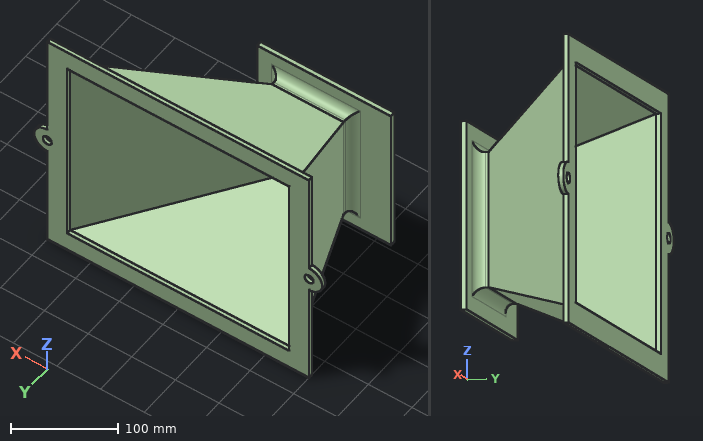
import cadquery as cq

TOTAL_DEPTH = 151.0
OUTLET_FACE_Y = -TOTAL_DEPTH / 2
INLET_FACE_Y = TOTAL_DEPTH / 2

TOTAL_WIDTH = 330.5
EAR_RADIUS = 15.2
EAR_HOLE_DIAMETER = 10.0
PLATE_WIDTH = TOTAL_WIDTH - 2 * EAR_RADIUS
PLATE_HEIGHT = 275.0
PLATE_THICKNESS = 5.0
PLATE_FRONT_Y = INLET_FACE_Y - PLATE_THICKNESS

HOPPER_WIDTH = 261.0
HOPPER_HEIGHT = 235.2
INLET_WALL = 3.3
INLET_WIDTH = HOPPER_WIDTH - 2 * INLET_WALL
INLET_HEIGHT = HOPPER_HEIGHT - 2 * INLET_WALL

OUTLET_X = -63.8
FLANGE_WIDTH = 153.3
FLANGE_HEIGHT = 179.7
FLANGE_THICKNESS = 6.0
NECK_X = -54.5
NECK_WIDTH = 82.0
NECK_HEIGHT = 129.0
NECK_LENGTH = 13.0
NECK_FILLET = 10.0
EDGE_MARGIN = 0.3
OUTLET_WIDTH = 50.5
OUTLET_HEIGHT = 109.0
FLANGE_BACK_Y = OUTLET_FACE_Y + FLANGE_THICKNESS
NECK_END_Y = FLANGE_BACK_Y + NECK_LENGTH


def block(width, height, start_y, end_y, center_x=0.0):
    """Rectangular block spanning start_y to end_y, centred on Z = 0."""
    return cq.Workplane("XY").box(width, end_y - start_y, height).translate(
        (center_x, (start_y + end_y) / 2, 0)
    )


def rectangle(width, height, y, center_x):
    """Closed rectangular wire in the plane at the given Y."""
    plane = cq.Workplane("XZ", origin=(center_x, y, 0))
    return plane.rect(width, height).wires().val()


def ruled_loft(first, last):
    """Flat-sided solid between two rectangular wires."""
    return cq.Workplane(cq.Solid.makeLoft([first, last], True))


def make_mounting_plate():
    """Mounting plate with two drilled ears and a straight rectangular inlet."""
    plate = block(PLATE_WIDTH, PLATE_HEIGHT, PLATE_FRONT_Y, INLET_FACE_Y)
    inlet = block(INLET_WIDTH, INLET_HEIGHT, PLATE_FRONT_Y, INLET_FACE_Y)
    ear_centers = [(-PLATE_WIDTH / 2, 0), (PLATE_WIDTH / 2, 0)]
    ear_plane = cq.Workplane("XZ", origin=(0, INLET_FACE_Y, 0)).pushPoints(ear_centers)
    ears = ear_plane.circle(EAR_RADIUS).extrude(PLATE_THICKNESS)
    holes = ear_plane.circle(EAR_HOLE_DIAMETER / 2).extrude(PLATE_THICKNESS)
    return plate.union(ears).cut(holes).cut(inlet)


def make_outlet_flange():
    """Solid outlet flange and neck, with a fillet around the neck root."""
    flange = block(FLANGE_WIDTH, FLANGE_HEIGHT, OUTLET_FACE_Y, FLANGE_BACK_Y, OUTLET_X)
    neck = block(NECK_WIDTH, NECK_HEIGHT, FLANGE_BACK_Y, NECK_END_Y, NECK_X)
    half_width = NECK_WIDTH / 2 + EDGE_MARGIN
    half_height = NECK_HEIGHT / 2 + EDGE_MARGIN
    neck_root = cq.selectors.BoxSelector(
        (NECK_X - half_width, FLANGE_BACK_Y - EDGE_MARGIN, -half_height),
        (NECK_X + half_width, FLANGE_BACK_Y + EDGE_MARGIN, half_height),
    )
    return flange.union(neck).edges(neck_root).fillet(NECK_FILLET)


def make_hopper():
    """Tapered hopper with its outlet flange, ending flush against the mounting plate."""
    funnel = ruled_loft(
        rectangle(NECK_WIDTH, NECK_HEIGHT, NECK_END_Y, NECK_X),
        rectangle(HOPPER_WIDTH, HOPPER_HEIGHT, PLATE_FRONT_Y, 0),
    )
    passage = ruled_loft(
        rectangle(OUTLET_WIDTH, OUTLET_HEIGHT, OUTLET_FACE_Y, OUTLET_X),
        rectangle(INLET_WIDTH, INLET_HEIGHT, PLATE_FRONT_Y, 0),
    )
    return make_outlet_flange().union(funnel).cut(passage)


mounting_plate = make_mounting_plate()
hopper = make_hopper()

result = cq.Compound.makeCompound([mounting_plate.val(), hopper.val()])